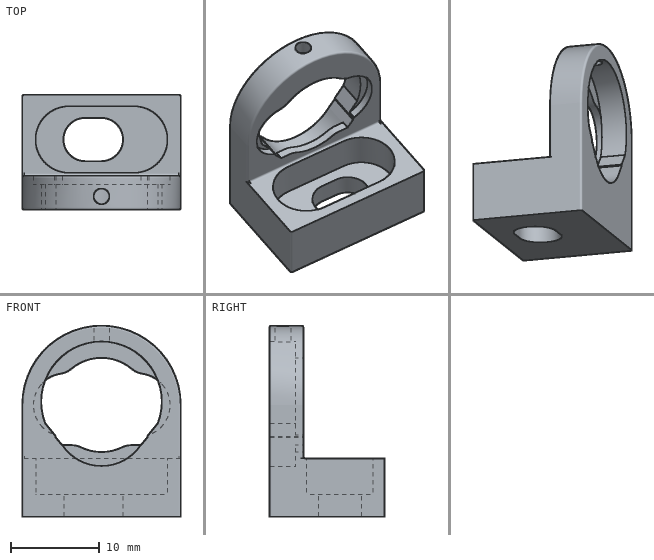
import cadquery as cq
import math

width = 18.01
plate_thickness = 3.88
arch_radius = width / 2
arch_center_z = 12.7
edge_radius = 0.25

foot_length = 13.08
foot_height = 6.63

recess_depth = 2.92
back_wall = plate_thickness - recess_depth
recess_radius = 6.83
recess_center_z = 13.07
recess_bottom_z = 5.77
cheek_top_z = 10.6
cheek_step_x = 5.2
cheek_step_top_z = 9.17
cheek_step_bottom_z = 9.02
cheek_bottom_x = 4.42
cheek_bottom_z = 8.1

opening_radius = 5.33
lobe_radius = 3.55
lobe_offset = 4.2
ledge_z = 8.16
blend_radius = 2.54

pocket_center_y = 7.98
pocket_length = 14.97
pocket_width = 7.55
pocket_floor_z = 2.54
slot_center_x = -0.94
slot_length = 6.74
slot_width = 4.88

crown_hole_diameter = 1.78
crown_hole_y = 1.53


def front_plane(y):
    """XZ sketch plane at the given Y; a negative extrusion runs toward +Y."""
    return cq.Workplane("XZ", origin=(0, y, 0))


def make_plate():
    plate = (
        front_plane(0)
        .moveTo(-arch_radius, 0)
        .lineTo(-arch_radius, arch_center_z)
        .threePointArc((0, arch_center_z + arch_radius), (arch_radius, arch_center_z))
        .lineTo(arch_radius, 0)
        .close()
        .extrude(-plate_thickness)
    )
    return plate.faces("<Y or >Y").edges("not(|X)").fillet(edge_radius)


def make_foot():
    start_y = plate_thickness / 2
    return (
        cq.Workplane("XY")
        .box(width, foot_length - start_y, foot_height, centered=(True, False, False))
        .translate((0, start_y, 0))
        .edges("|Z and >Y")
        .fillet(edge_radius)
    )


def make_root_fillet():
    """Concave strip where the foot's top meets the back of the plate."""
    return (
        cq.Workplane("YZ")
        .moveTo(plate_thickness, foot_height)
        .lineTo(plate_thickness + edge_radius, foot_height)
        .radiusArc((plate_thickness, foot_height + edge_radius), edge_radius)
        .close()
        .extrude(arch_radius - edge_radius, both=True)
    )


def make_recess(start_y, depth):
    cheek_top_x = math.sqrt(recess_radius**2 - (recess_center_z - cheek_top_z) ** 2)
    return (
        front_plane(start_y)
        .moveTo(-cheek_top_x, cheek_top_z)
        .threePointArc((0, recess_center_z + recess_radius), (cheek_top_x, cheek_top_z))
        .lineTo(cheek_step_x, cheek_step_top_z)
        .lineTo(cheek_step_x, cheek_step_bottom_z)
        .lineTo(cheek_bottom_x, cheek_bottom_z)
        .threePointArc((0, recess_bottom_z), (-cheek_bottom_x, cheek_bottom_z))
        .lineTo(-cheek_step_x, cheek_step_bottom_z)
        .lineTo(-cheek_step_x, cheek_step_top_z)
        .close()
        .extrude(-depth)
    )


def blend_wedge(side, blend_x, blend_z, outer_x, outer_z):
    """Sector whose rim is the concave blend arc between the round opening and its neighbour.

    The blend is centred at (blend_x, blend_z) from the opening's centre and
    ends at (outer_x, outer_z) on the neighbour.
    """
    center_distance = math.hypot(blend_x, blend_z)
    inner_x = blend_x * opening_radius / center_distance
    inner_z = blend_z * opening_radius / center_distance
    middle_dx = (inner_x + outer_x) / 2 - blend_x
    middle_dz = (inner_z + outer_z) / 2 - blend_z
    stretch = blend_radius / math.hypot(middle_dx, middle_dz)
    middle_x = blend_x + middle_dx * stretch
    middle_z = blend_z + middle_dz * stretch
    return (
        front_plane(recess_depth)
        .moveTo(0, arch_center_z)
        .lineTo(side * inner_x, arch_center_z + inner_z)
        .threePointArc(
            (side * middle_x, arch_center_z + middle_z),
            (side * outer_x, arch_center_z + outer_z),
        )
        .lineTo(side * lobe_offset, arch_center_z)
        .close()
        .extrude(-back_wall)
    )


def make_opening():
    lobes = (
        front_plane(recess_depth)
        .center(0, arch_center_z)
        .slot2D(2 * (lobe_offset + lobe_radius), 2 * lobe_radius)
        .extrude(-back_wall)
    )
    circle = (
        front_plane(recess_depth)
        .center(0, arch_center_z)
        .circle(opening_radius)
        .extrude(-back_wall)
    )
    above_ledge = (
        cq.Workplane("XY")
        .box(width, back_wall, arch_center_z - ledge_z, centered=(True, False, False))
        .translate((0, recess_depth, ledge_z))
    )
    cheek_space = make_recess(recess_depth, back_wall).intersect(above_ledge)
    opening = lobes.union(circle).union(cheek_space)

    opening_reach = opening_radius + blend_radius
    lobe_reach = lobe_radius + blend_radius
    upper_x = (opening_reach**2 - lobe_reach**2 + lobe_offset**2) / (2 * lobe_offset)
    upper_z = math.sqrt(opening_reach**2 - upper_x**2)
    upper_end_x = lobe_offset + (upper_x - lobe_offset) * lobe_radius / lobe_reach
    upper_end_z = upper_z * lobe_radius / lobe_reach

    ledge_drop = ledge_z - arch_center_z
    lower_z = ledge_drop - blend_radius
    lower_x = math.sqrt(opening_reach**2 - lower_z**2)

    for side in (-1, 1):
        opening = opening.union(blend_wedge(side, upper_x, upper_z, upper_end_x, upper_end_z))
        opening = opening.union(blend_wedge(side, lower_x, lower_z, lower_x, ledge_drop))
    return opening


def make_foot_cuts():
    pocket = (
        cq.Workplane("XY", origin=(0, pocket_center_y, pocket_floor_z))
        .slot2D(pocket_length, pocket_width)
        .extrude(foot_height - pocket_floor_z)
    )
    slot = (
        cq.Workplane("XY", origin=(slot_center_x, pocket_center_y, 0))
        .slot2D(slot_length, slot_width)
        .extrude(foot_height)
    )
    return pocket.union(slot)


def make_crown_hole():
    return (
        cq.Workplane("XY", origin=(0, crown_hole_y, recess_center_z))
        .circle(crown_hole_diameter / 2)
        .extrude(arch_center_z + arch_radius - recess_center_z)
    )


result = (
    make_plate()
    .union(make_foot())
    .union(make_root_fillet())
    .cut(make_recess(0, recess_depth))
    .cut(make_opening())
    .cut(make_foot_cuts())
    .cut(make_crown_hole())
)